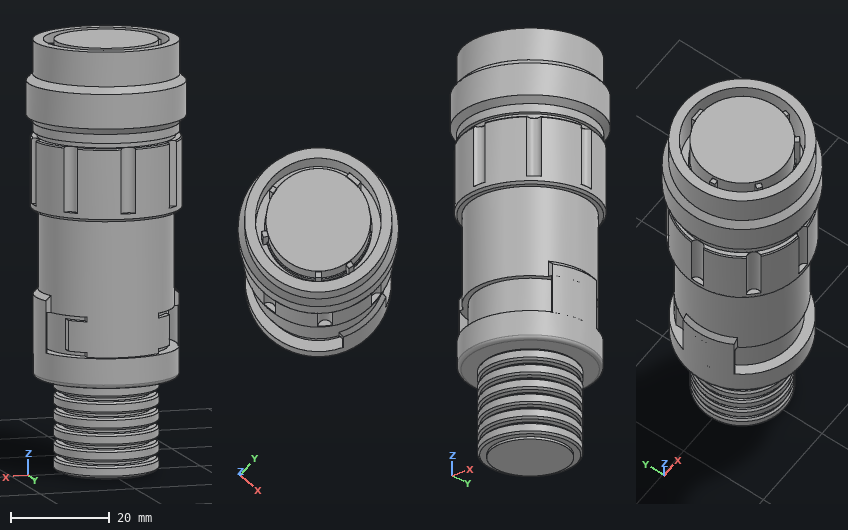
import cadquery as cq
import math

total_height = 88.95

rib_count = 6
rib_radius = 10.7
rib_height = 2.5
rib_pitch = 3.3
rib_chamfer = 0.45
first_rib_z = 0.5
core_radius = 8.8

clamp_diameter = 29.6
clamp_radius = clamp_diameter / 2
clamp_bottom = 19.7
clamp_top = 25.9
clamp_fillet = 0.8
tab_top = 37.6
tab_thickness = 0.3
tab_y_min = -7.4
tab_y_max = 4.45

barrel_radius = 13.8
undercut_radius = 12.5
undercut_top = 34.2

land_half_width = 7.6
tongue_half_width = 10.7
tongue_end_gap = 1.0

grip_radius = 15.4
grip_bottom = 54.1
grip_top = 69.1
grip_bottom_chamfer = 0.5
grip_top_chamfer = 0.3
flute_count = 8
flute_width = 3.0
flute_depth = 1.2
flute_bottom = 55.7

neck_diameter = 28.0
neck_radius = neck_diameter / 2
head_diameter = 29.8
head_radius = head_diameter / 2
head_bottom = 70.2
band_diameter = 32.5
band_radius = band_diameter / 2
band_bottom = 72.05
band_top = 81.8
band_bevel = band_radius - head_radius

socket_radius = 12.7
socket_depth = 8.9
plug_radius = 10.6
plug_foot_radius = 10.85
plug_foot_height = 1.8
key_outer_radius = 11.65
key_recess = 0.9
main_key_width = 3.0
minor_key_width = 1.25
main_key_angle = 90
minor_key_angles = (185, 234, 310, 345)


def cylinder(radius, bottom, top):
    """Upright cylinder on the part axis between two heights."""
    return cq.Workplane("XY").workplane(offset=bottom).circle(radius).extrude(top - bottom)


def block(x_min, x_max, y_min, y_max, bottom, top):
    """Axis-aligned box given by its limits."""
    size = (x_max - x_min, y_max - y_min, top - bottom)
    return cq.Workplane("XY").box(*size, centered=False).translate((x_min, y_min, bottom))


def make_spigot():
    spigot = cylinder(core_radius, 0, clamp_bottom)
    for i in range(rib_count):
        bottom = first_rib_z + i * rib_pitch
        rib = cylinder(rib_radius, bottom, bottom + rib_height).edges().chamfer(rib_chamfer)
        spigot = spigot.union(rib)
    return spigot


def make_clamp():
    ring = cylinder(clamp_radius, clamp_bottom, clamp_top)
    ring = ring.faces("<Z").edges().fillet(clamp_fillet)

    sleeve = cylinder(clamp_radius, clamp_top, tab_top)
    sleeve = sleeve.faces(">Z").edges().chamfer(clamp_radius - barrel_radius)
    sleeve = sleeve.cut(cylinder(barrel_radius, clamp_top, tab_top))
    sleeve = sleeve.cut(cylinder(clamp_radius - tab_thickness, clamp_top, undercut_top))
    tab_span = block(-clamp_radius, clamp_radius, tab_y_min, tab_y_max, clamp_top, tab_top)
    return ring.union(sleeve.intersect(tab_span))


def make_barrel():
    barrel = cylinder(undercut_radius, clamp_top, undercut_top)
    barrel = barrel.union(cylinder(barrel_radius, undercut_top, grip_bottom))

    land = block(-land_half_width, land_half_width, 0, barrel_radius, clamp_top, undercut_top)
    tongue = block(
        -tongue_half_width, tongue_half_width, 0, barrel_radius,
        clamp_top + tongue_end_gap, undercut_top - tongue_end_gap,
    )
    full_round = cylinder(barrel_radius, clamp_top, undercut_top)
    return barrel.union(full_round.intersect(land.union(tongue)))


def make_grip():
    grip = cylinder(grip_radius, grip_bottom, grip_top)
    grip = grip.faces("<Z").edges().chamfer(grip_bottom_chamfer)
    grip = grip.faces(">Z").edges().chamfer(grip_top_chamfer)

    half_width = flute_width / 2
    flute_radius = (half_width**2 + flute_depth**2) / (2 * flute_depth)
    chord_distance = math.sqrt(grip_radius**2 - half_width**2)
    flute_centre = chord_distance - flute_depth + flute_radius
    flutes = (
        cq.Workplane("XY")
        .workplane(offset=flute_bottom)
        .polarArray(flute_centre, 0, 360, flute_count)
        .circle(flute_radius)
        .extrude(grip_top - flute_bottom)
    )
    return grip.cut(flutes)


def make_head():
    head = cylinder(neck_radius, grip_top, head_bottom)
    head = head.union(cylinder(head_radius, head_bottom, total_height))
    band = cylinder(band_radius, band_bottom, band_top).edges().chamfer(band_bevel)
    return head.union(band).cut(cylinder(socket_radius, total_height - socket_depth, total_height))


def make_key(width, angle, bottom):
    key_top = total_height - key_recess
    key = block(0, key_outer_radius, -width / 2, width / 2, bottom, key_top)
    return key.rotate((0, 0, 0), (0, 0, 1), angle)


def make_plug():
    socket_floor = total_height - socket_depth
    plug = cylinder(plug_radius, socket_floor, total_height)
    plug = plug.union(cylinder(plug_foot_radius, socket_floor, socket_floor + plug_foot_height))
    plug = plug.union(make_key(main_key_width, main_key_angle, socket_floor))
    for angle in minor_key_angles:
        plug = plug.union(make_key(minor_key_width, angle, socket_floor))
    return plug


result = make_spigot()
for section in (make_clamp(), make_barrel(), make_grip(), make_head(), make_plug()):
    result = result.union(section)